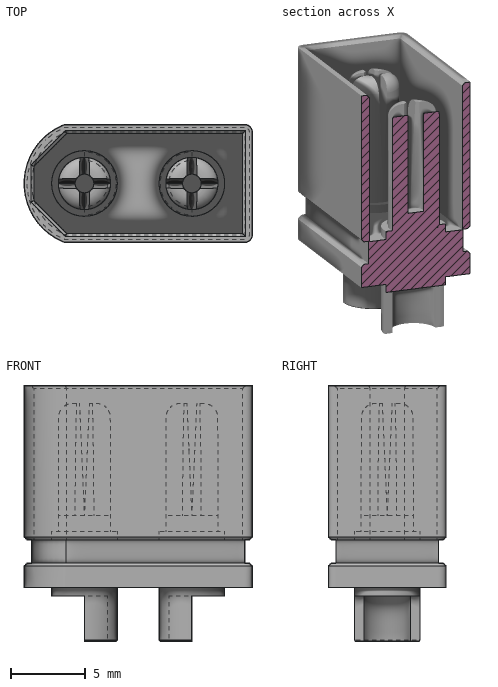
import cadquery as cq

body_length = 15.3
body_width = 7.9
groove_depth = 0.5
nose_length = 2.3
neck_half_length = body_length / 2 - groove_depth
neck_half_width = body_width / 2 - groove_depth

groove_bottom = 1.65
groove_top = 3.2
body_height = 13.55
groove_chamfer = 0.2

cavity_half_length = 7.0
cavity_half_width = 3.35
cavity_corner = 2.2
cavity_floor = 3.2
mouth_chamfer = 0.2

contact_offset = 3.6
pin_radius = 1.75
pin_top = 12.35
pin_tip_round = 0.9
pin_bore_radius = 0.625
slot_width = 0.66
slot_floor = 4.85
bore_floor = slot_floor

cup_outer_radius = 2.2
cup_inner_radius = 1.55
collar_height = 0.57
cup_reach = 3.6
cup_end_chamfer = 0.08


def neck_outline(z):
    """Rectangle with a bowed nose on the -X end."""
    nose_start = -neck_half_length + nose_length
    return (
        cq.Workplane("XY", origin=(0, 0, z))
        .moveTo(nose_start, -neck_half_width)
        .lineTo(neck_half_length, -neck_half_width)
        .lineTo(neck_half_length, neck_half_width)
        .lineTo(nose_start, neck_half_width)
        .threePointArc((-neck_half_length, 0), (nose_start, -neck_half_width))
        .close()
    )


def outer_slab(z_bottom, z_top):
    return neck_outline(z_bottom).offset2D(groove_depth, "arc").extrude(z_top - z_bottom)


def make_housing():
    flange = outer_slab(0, groove_bottom).faces(">Z").edges().chamfer(groove_chamfer)
    shell = outer_slab(groove_top, body_height).faces("<Z").edges().chamfer(groove_chamfer)
    neck = neck_outline(0).extrude(body_height)
    return neck.union(flange).union(shell)


def cavity_outline(z):
    """Rectangle with its two nose-end corners clipped at 45 degrees."""
    clipped_x = -cavity_half_length + cavity_corner
    clipped_y = cavity_half_width - cavity_corner
    return (
        cq.Workplane("XY", origin=(0, 0, z))
        .moveTo(clipped_x, -cavity_half_width)
        .lineTo(cavity_half_length, -cavity_half_width)
        .lineTo(cavity_half_length, cavity_half_width)
        .lineTo(clipped_x, cavity_half_width)
        .lineTo(-cavity_half_length, clipped_y)
        .lineTo(-cavity_half_length, -clipped_y)
        .close()
    )


def make_cavity():
    """Straight-walled socket with a flared mouth."""
    cavity = cavity_outline(cavity_floor).extrude(body_height - cavity_floor)
    throat = cavity_outline(body_height - mouth_chamfer)
    mouth = cavity_outline(body_height).offset2D(mouth_chamfer, "intersection")
    flare = cq.Workplane(cq.Solid.makeLoft([throat.val(), mouth.val()], True))
    return cavity.union(flare)


def make_pin():
    """Round-nosed pin, bored down the middle and split by crossed V-shaped slots."""
    pin = cq.Workplane("XY").circle(pin_radius).extrude(pin_top)
    pin = pin.faces(">Z").edges().fillet(pin_tip_round)
    bore = (
        cq.Workplane("XY", origin=(0, 0, bore_floor))
        .circle(pin_bore_radius)
        .extrude(pin_top - bore_floor)
    )
    slot = make_slot()
    return pin.cut(bore).cut(slot).cut(slot.rotate((0, 0, 0), (0, 0, 1), 90))


def make_slot():
    """V-shaped slot running along Y through the whole pin, widest at the tip."""
    half_width = slot_width / 2
    return (
        cq.Workplane("XZ")
        .moveTo(-half_width, pin_top)
        .lineTo(0, slot_floor)
        .lineTo(half_width, pin_top)
        .close()
        .extrude(pin_radius, both=True)
    )


def make_cup():
    """Post from just above the socket floor down to a half-round solder cup, open toward -X."""
    post_top = cavity_floor + collar_height
    post = (
        cq.Workplane("XY", origin=(0, 0, post_top))
        .circle(cup_outer_radius)
        .extrude(-(post_top + cup_reach))
        .faces("<Z")
        .edges()
        .chamfer(cup_end_chamfer)
    )
    cup_depth = cup_reach - collar_height
    below_collar = cq.Workplane("XY", origin=(0, 0, -collar_height))
    bore = below_collar.circle(cup_inner_radius).extrude(-cup_depth)
    open_half = (
        below_collar.center(-cup_outer_radius / 2, 0)
        .rect(cup_outer_radius, 2 * cup_outer_radius)
        .extrude(-cup_depth)
    )
    return post.cut(bore).cut(open_half)


left_contact = make_pin().union(make_cup()).translate((-contact_offset, 0, 0))
right_contact = left_contact.mirror("YZ")

result = make_housing().cut(make_cavity()).union(left_contact).union(right_contact)